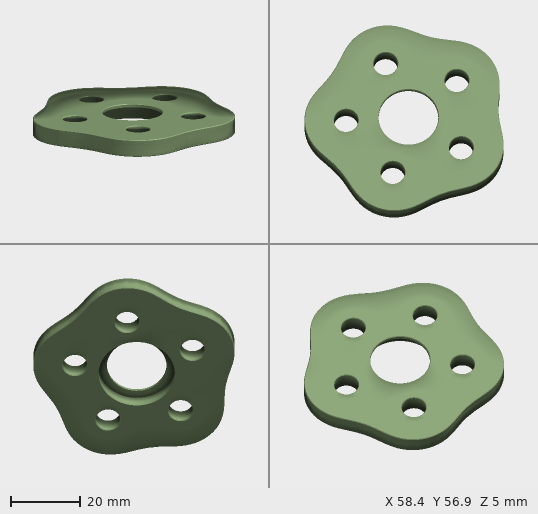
import cadquery as cq
import math

thickness = 5.0
edge_chamfer = 0.2

lobe_count = 5
ring_pin_count = lobe_count + 1
ring_pin_circle_radius = 36.0
ring_pin_radius = 8.0
eccentricity = 2.0

output_hole_diameter = 7.0
output_hole_circle_radius = 18.0

lip_bore_diameter = 17.2
lip_thickness = 1.0
bearing_seat_diameter = 22.0
bearing_seat_depth = thickness - lip_thickness

first_lobe_angle = -90.0

points_per_lobe = 24


def cycloid_point(turn):
    """Point of the disc outline at ring angle `turn` (radians), measured from the first lobe tip."""
    shift = math.pi / lobe_count
    ring_angle = turn + shift
    rolling_angle = lobe_count * ring_angle
    leverage = ring_pin_circle_radius / (eccentricity * ring_pin_count)
    contact_angle = ring_angle - math.atan2(math.sin(rolling_angle), leverage - math.cos(rolling_angle))
    x = (
        ring_pin_circle_radius * math.cos(ring_angle)
        - ring_pin_radius * math.cos(contact_angle)
        - eccentricity * math.cos(ring_pin_count * ring_angle)
    )
    y = (
        ring_pin_circle_radius * math.sin(ring_angle)
        - ring_pin_radius * math.sin(contact_angle)
        - eccentricity * math.sin(ring_pin_count * ring_angle)
    )
    turn_back = math.radians(first_lobe_angle) - shift
    return (
        x * math.cos(turn_back) - y * math.sin(turn_back),
        x * math.sin(turn_back) + y * math.cos(turn_back),
    )


def make_disc():
    """Lobed plate closed by one smooth periodic curve."""
    point_count = points_per_lobe * lobe_count
    outline = [cycloid_point(2 * math.pi * i / point_count) for i in range(point_count)]
    return cq.Workplane("XY").spline(outline, periodic=True).close().extrude(thickness)


def cut_output_holes(body):
    """Ring of through holes for the output pins."""
    holes = (
        cq.Workplane("XY")
        .polarArray(output_hole_circle_radius, first_lobe_angle, 360, lobe_count)
        .circle(output_hole_diameter / 2)
        .extrude(thickness)
    )
    return body.cut(holes)


def cut_lip_bore(body):
    """Central through bore, which remains as the retaining lip at the top."""
    bore = cq.Workplane("XY").circle(lip_bore_diameter / 2).extrude(thickness)
    return body.cut(bore)


def break_edges(body):
    """Small chamfer on every edge of the top and bottom faces."""
    return body.faces("<Z or >Z").edges().chamfer(edge_chamfer)


def cut_bearing_seat(body):
    """Blind counterbore from below that holds the bearing; its rim stays sharp."""
    seat = cq.Workplane("XY").circle(bearing_seat_diameter / 2).extrude(bearing_seat_depth)
    return body.cut(seat)


disc = make_disc()
disc = cut_output_holes(disc)
disc = cut_lip_bore(disc)
disc = break_edges(disc)
result = cut_bearing_seat(disc)